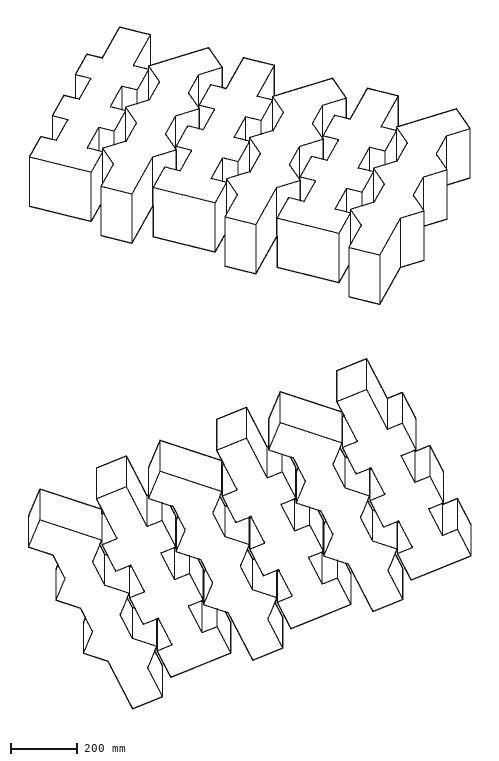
import cadquery as cq

bar_width = 100.0
crossbar_length = 2 * bar_width
shaft_length = 6 * bar_width
block_height = 200.0
crossbar_count = 3
crossbar_pitch = 2 * bar_width

pair_count = 3
pair_pitch = 400.0
tilted_offset = 200.0
tilt_angle = 45.0

straight_shift = bar_width


def toothed_block(shaft_start, first_crossbar, angle):
    """Upright block: a shaft along Y, centred on X = 0, with evenly spaced crossbars."""
    block = (
        cq.Workplane("XY")
        .box(bar_width, shaft_length, block_height, centered=(True, False, False))
        .translate((0, shaft_start, 0))
    )
    for index in range(crossbar_count):
        crossbar = (
            cq.Workplane("XY")
            .box(crossbar_length, bar_width, block_height, centered=(True, True, False))
            .rotate((0, 0, 0), (0, 0, 1), angle)
            .translate((0, first_crossbar + index * crossbar_pitch, 0))
        )
        block = block.union(crossbar)
    return block.clean()


def straight_block(x):
    """Block with square crossbars; the first crossbar is centred on the near end of the shaft."""
    return toothed_block(straight_shift, straight_shift, 0).translate((x, 0, 0))


def tilted_block(x):
    """Block with tilted crossbars; the last crossbar is centred on the far end of the shaft."""
    return toothed_block(0, crossbar_pitch, tilt_angle).translate((x, 0, 0))


bodies = []
for pair in range(pair_count):
    pair_x = pair * pair_pitch
    bodies.append(straight_block(pair_x).val())
    bodies.append(tilted_block(pair_x + tilted_offset).val())

result = cq.Compound.makeCompound(bodies)